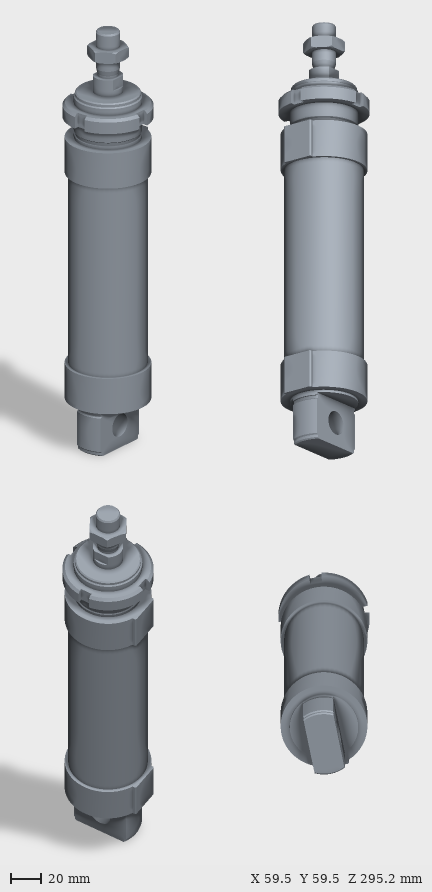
import cadquery as cq
import math

TOTAL_LENGTH = 295.2

NECK_DIAMETER = 45.0
NECK_TIP_DIAMETER = 43.38
NECK_TIP_HEIGHT = 2.6
NECK_TIP_FLARE = (NECK_DIAMETER - NECK_TIP_DIAMETER) / 2
NECK_TIP_CHAMFER = 0.8
NECK_GROOVE_DIAMETER = 42.8
NECK_GROOVE_WIDTH = 2.0
NECK_GROOVE_FLARE = 0.8
FRONT_COLLAR_HEIGHT = 2.2
FRONT_NECK_LENGTH = 32.4

EYE_HEIGHT = 31.7
EYE_THICKNESS = 20.0
EYE_HOLE_DIAMETER = 16.0
EYE_HOLE_HEIGHT = 16.0
REAR_COLLAR_HEIGHT = 1.6
REAR_SHOULDER_HEIGHT = 1.6

COVER_DIAMETER = 57.0
COVER_LENGTH = 25.2
TUBE_DIAMETER = 52.4
TUBE_LENGTH = 135.7
PAD_WIDTH = 22.5
PAD_REACH = 28.8
PAD_CHAMFER = 0.8

MOUNT_NUT_DIAMETER = 60.0
MOUNT_NUT_THICKNESS = 10.0
MOUNT_NUT_TOP_DIAMETER = 56.5
MOUNT_NUT_CHAMFER_HEIGHT = 1.8
MOUNT_NUT_BELOW_NECK_TIP = 8.0
SLOT_COUNT = 4
SLOT_WIDTH = 8.0
SLOT_FLOOR_RADIUS = 26.4

ROD_DIAMETER = 20.0
ROD_SHANK_LENGTH = 11.6
FLAT_ACROSS = 17.0
FLAT_LENGTH = 7.4
THREAD_DIAMETER = 16.0
THREAD_TIP_DIAMETER = 14.38
THREAD_CHAMFER = 1.2
THREAD_RUNOUT = 2.8
RELIEF_DIAMETER = 13.9
RELIEF_LENGTH = 1.8
RELIEF_FLARE = 0.8

ROD_NUT_ACROSS_FLATS = 24.0
ROD_NUT_FACE_DIAMETER = 25.0
ROD_NUT_THICKNESS = 8.0
ROD_NUT_CHAMFER_ANGLE = 30.0
ROD_NUT_BELOW_TIP = 11.0

REAR_COVER_BOTTOM = EYE_HEIGHT + REAR_COLLAR_HEIGHT
TUBE_BOTTOM = REAR_COVER_BOTTOM + COVER_LENGTH
TUBE_TOP = TUBE_BOTTOM + TUBE_LENGTH
FRONT_COVER_TOP = TUBE_TOP + COVER_LENGTH
NECK_TOP = FRONT_COVER_TOP + FRONT_NECK_LENGTH


def disc(diameter, bottom, top):
    return cq.Workplane("XY").workplane(offset=bottom).circle(diameter / 2).extrude(top - bottom)


def revolved(profile):
    """Solid of revolution about Z from (diameter, height) corners, closed along the axis."""
    points = [(diameter / 2, height) for diameter, height in profile]
    axis_points = [(0, profile[-1][1]), (0, profile[0][1])]
    return cq.Workplane("XZ").polyline(points + axis_points).close().revolve(360, (0, 0), (0, 1))


def make_cover(bottom):
    pad = (
        cq.Workplane("XY")
        .workplane(offset=bottom)
        .rect(PAD_WIDTH, PAD_REACH, centered=(True, False))
        .extrude(COVER_LENGTH)
        .edges("|Z and >Y")
        .chamfer(PAD_CHAMFER)
    )
    return disc(COVER_DIAMETER, bottom, bottom + COVER_LENGTH).union(pad)


def make_front_neck():
    groove_bottom = FRONT_COVER_TOP + FRONT_COLLAR_HEIGHT
    groove_top = groove_bottom + NECK_GROOVE_WIDTH
    return revolved([
        (NECK_DIAMETER, FRONT_COVER_TOP),
        (NECK_DIAMETER, groove_bottom),
        (NECK_GROOVE_DIAMETER, groove_bottom),
        (NECK_GROOVE_DIAMETER, groove_top),
        (NECK_DIAMETER, groove_top + NECK_GROOVE_FLARE),
        (NECK_DIAMETER, NECK_TOP - NECK_TIP_HEIGHT - NECK_TIP_FLARE),
        (NECK_TIP_DIAMETER, NECK_TOP - NECK_TIP_HEIGHT),
        (NECK_TIP_DIAMETER, NECK_TOP - NECK_TIP_CHAMFER),
        (NECK_TIP_DIAMETER - 2 * NECK_TIP_CHAMFER, NECK_TOP),
    ])


def make_rear_neck():
    groove_top = EYE_HEIGHT - REAR_SHOULDER_HEIGHT
    groove_bottom = groove_top - NECK_GROOVE_WIDTH
    neck = revolved([
        (NECK_TIP_DIAMETER - 2 * NECK_TIP_CHAMFER, 0),
        (NECK_TIP_DIAMETER, NECK_TIP_CHAMFER),
        (NECK_TIP_DIAMETER, NECK_TIP_HEIGHT),
        (NECK_DIAMETER, NECK_TIP_HEIGHT + NECK_TIP_FLARE),
        (NECK_DIAMETER, groove_bottom - NECK_GROOVE_FLARE),
        (NECK_GROOVE_DIAMETER, groove_bottom),
        (NECK_GROOVE_DIAMETER, groove_top),
        (NECK_DIAMETER, groove_top),
        (NECK_DIAMETER, REAR_COVER_BOTTOM),
    ])
    eye_blank = cq.Workplane("XY").rect(EYE_THICKNESS, NECK_DIAMETER).extrude(EYE_HEIGHT)
    collar = disc(NECK_DIAMETER, EYE_HEIGHT, REAR_COVER_BOTTOM)
    hole = (
        cq.Workplane("YZ")
        .center(0, EYE_HOLE_HEIGHT)
        .circle(EYE_HOLE_DIAMETER / 2)
        .extrude(EYE_THICKNESS, both=True)
    )
    return neck.intersect(eye_blank).union(collar).cut(hole)


def make_cylinder_body():
    body = disc(TUBE_DIAMETER, TUBE_BOTTOM, TUBE_TOP)
    for cover_bottom in (REAR_COVER_BOTTOM, TUBE_TOP):
        body = body.union(make_cover(cover_bottom))
    return body.union(make_front_neck()).union(make_rear_neck())


def make_mount_nut():
    top = NECK_TOP - MOUNT_NUT_BELOW_NECK_TIP
    bottom = top - MOUNT_NUT_THICKNESS
    nut = revolved([
        (MOUNT_NUT_DIAMETER, bottom),
        (MOUNT_NUT_DIAMETER, top - MOUNT_NUT_CHAMFER_HEIGHT),
        (MOUNT_NUT_TOP_DIAMETER, top),
    ])
    nut = nut.cut(disc(NECK_DIAMETER, bottom, top))
    slot = (
        cq.Workplane("XY")
        .workplane(offset=bottom)
        .center(SLOT_FLOOR_RADIUS, 0)
        .rect(MOUNT_NUT_DIAMETER / 2, SLOT_WIDTH, centered=(False, True))
        .extrude(MOUNT_NUT_THICKNESS)
    )
    for index in range(SLOT_COUNT):
        nut = nut.cut(slot.rotate((0, 0, 0), (0, 0, 1), index * 360 / SLOT_COUNT))
    return nut


def make_rod():
    shank_top = NECK_TOP + ROD_SHANK_LENGTH
    relief_top = shank_top + RELIEF_LENGTH
    runout_bottom = relief_top + RELIEF_FLARE
    rod = revolved([
        (ROD_DIAMETER, NECK_TOP),
        (ROD_DIAMETER, shank_top),
        (RELIEF_DIAMETER, shank_top),
        (RELIEF_DIAMETER, relief_top),
        (THREAD_TIP_DIAMETER, runout_bottom),
        (THREAD_DIAMETER, runout_bottom + THREAD_RUNOUT),
        (THREAD_DIAMETER, TOTAL_LENGTH - THREAD_CHAMFER),
        (THREAD_TIP_DIAMETER, TOTAL_LENGTH),
    ])
    for side in (-1, 1):
        flat_cut = (
            cq.Workplane("XY")
            .workplane(offset=shank_top - FLAT_LENGTH)
            .center(side * (FLAT_ACROSS + ROD_DIAMETER) / 2, 0)
            .rect(ROD_DIAMETER, ROD_DIAMETER)
            .extrude(FLAT_LENGTH)
        )
        rod = rod.cut(flat_cut)
    return rod


def make_rod_nut():
    top = TOTAL_LENGTH - ROD_NUT_BELOW_TIP
    bottom = top - ROD_NUT_THICKNESS
    across_corners = ROD_NUT_ACROSS_FLATS / math.cos(math.pi / 6)
    hexagon = (
        cq.Workplane("XY")
        .workplane(offset=bottom)
        .polygon(6, across_corners)
        .extrude(ROD_NUT_THICKNESS)
        .rotate((0, 0, 0), (0, 0, 1), 90)
    )
    chamfer_reach = (across_corners - ROD_NUT_FACE_DIAMETER) / 2
    chamfer_height = chamfer_reach * math.tan(math.radians(ROD_NUT_CHAMFER_ANGLE))
    chamfer_envelope = revolved([
        (ROD_NUT_FACE_DIAMETER, bottom),
        (across_corners, bottom + chamfer_height),
        (across_corners, top - chamfer_height),
        (ROD_NUT_FACE_DIAMETER, top),
    ])
    return hexagon.intersect(chamfer_envelope).cut(disc(THREAD_DIAMETER, bottom, top))


cylinder_body = make_cylinder_body()
mount_nut = make_mount_nut()
rod = make_rod()
rod_nut = make_rod_nut()

result = cq.Compound.makeCompound([
    cylinder_body.val(),
    mount_nut.val(),
    rod.val(),
    rod_nut.val(),
])